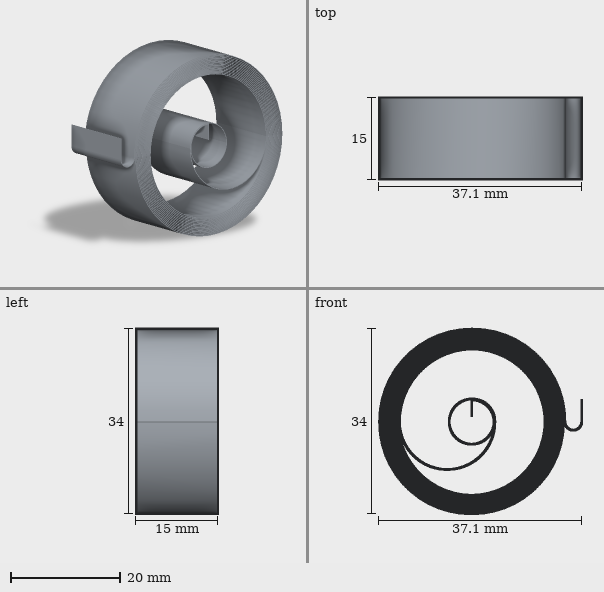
import cadquery as cq
import math

strip_width = 15.0
strip_thickness = 0.13
half_thickness = strip_thickness / 2

coil_pitch = 0.25
coil_half_turns = 29
coil_diameter = 33.95

loop_pitch = 0.165
loop_diameter = 8.2
loop_centre_x = -0.1
tab_length = 3.0

overall_length = 37.13
hook_diameter = overall_length - coil_diameter - strip_thickness
hook_leg_length = 4.0


def coil_stations():
    """Stations from the innermost left point of the coil to its outer right end."""
    stations = []
    for half_turns_left in range(coil_half_turns, -1, -1):
        radius = coil_diameter / 2 - half_turns_left // 2 * coil_pitch
        on_right = half_turns_left % 2 == 0
        stations.append(radius if on_right else -radius)
    return stations


loop_radius = loop_diameter / 2
loop_right = loop_centre_x + loop_radius
loop_left = loop_centre_x - loop_radius
loop_stations = [loop_right, loop_left, loop_right + loop_pitch]
stations = loop_stations + coil_stations()

first_radius = (loop_diameter - loop_pitch) / 2
tab_x = loop_right - first_radius
tab_left_x = tab_x - strip_thickness
tab_top_z = first_radius + half_thickness
tab_end_z = tab_top_z - tab_length

coil_end_x = stations[-1]
hook_x = coil_end_x + hook_diameter / 2
leg_x = coil_end_x + hook_diameter


def line(start, end):
    """Straight edge between two (X, Z) points."""
    return cq.Edge.makeLine(cq.Vector(start[0], 0, start[1]), cq.Vector(end[0], 0, end[1]))


def arc(start, middle, end):
    """Circular edge through three (X, Z) points."""
    points = [cq.Vector(x, 0, z) for x, z in (start, middle, end)]
    return cq.Edge.makeThreePointArc(*points)


def winding_side(offset):
    """Edges of one side of the winding, moved outward by the offset, from tab to hook tip."""
    radius = first_radius + offset
    slant = radius * math.sqrt(0.5)
    edges = [arc((tab_x, radius), (tab_x + slant, slant), (stations[0] + offset, 0))]

    for start, end in zip(stations, stations[1:]):
        outward = offset if end > start else -offset
        crest_z = (end - start) / 2 + outward
        edges.append(arc((start - outward, 0), ((start + end) / 2, crest_z), (end + outward, 0)))

    hook_bottom_z = offset - hook_diameter / 2
    edges.append(arc((coil_end_x + offset, 0), (hook_x, hook_bottom_z), (leg_x - offset, 0)))
    edges.append(line((leg_x - offset, 0), (leg_x - offset, hook_leg_length)))
    return edges


def tab_edges():
    """Edges of the tab bent inward at the start of the strip."""
    corners = [
        (tab_x, tab_top_z - strip_thickness),
        (tab_x, tab_end_z),
        (tab_left_x, tab_end_z),
        (tab_left_x, tab_top_z),
        (tab_x, tab_top_z),
    ]
    return [line(start, end) for start, end in zip(corners, corners[1:])]


hook_tip = line((leg_x - half_thickness, hook_leg_length), (leg_x + half_thickness, hook_leg_length))
inner_side = winding_side(-half_thickness)[::-1]
profile = cq.Wire.assembleEdges(winding_side(half_thickness) + [hook_tip] + inner_side + tab_edges())

spring = cq.Solid.extrudeLinear(profile, [], cq.Vector(0, strip_width, 0))
result = cq.Workplane("XY").newObject([spring])